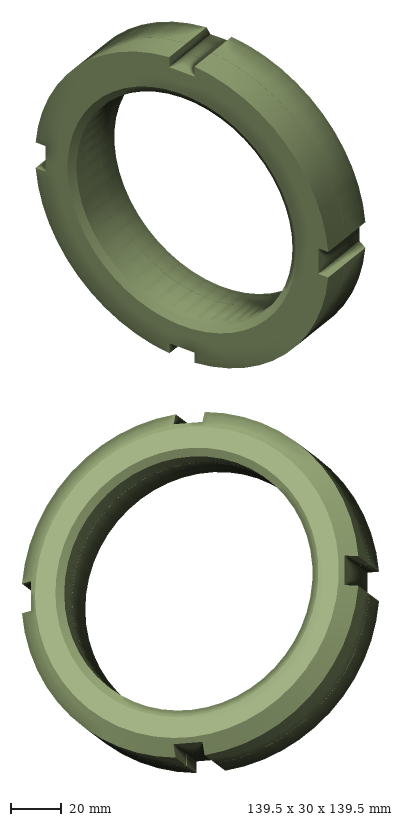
import cadquery as cq
import math

OVERALL_WIDTH = 139.5
THICKNESS = 30.0

SLOT_COUNT = 4
SLOT_WIDTH = 12.0
SLOT_FLOOR_DISTANCE = 65.0

OUTER_RADIUS = math.hypot(OVERALL_WIDTH / 2, SLOT_WIDTH / 2)

BORE_RADIUS = 51.5
BORE_CHAMFER_RADIUS = 54.5
BORE_CHAMFER_DEPTH = 1.8

BEVEL_WIDTH = 7.0
BEVEL_DEPTH = 4.0

FRONT_FLANGE_LENGTH = 12.0
FRONT_HUB_LENGTH = THICKNESS - FRONT_FLANGE_LENGTH
HUB_RADIUS = (BORE_RADIUS + SLOT_FLOOR_DISTANCE) / 2
AXIAL_GAP = 0.1

FRONT_Y = -THICKNESS / 2
REAR_Y = THICKNESS / 2
FLANGE_END_Y = FRONT_Y + FRONT_FLANGE_LENGTH
HUB_END_Y = FRONT_Y + FRONT_HUB_LENGTH


def revolve_about_y(profile_points):
    """Revolve a closed (radius, y) outline about the Y axis."""
    return cq.Workplane("XY").polyline(profile_points).close().revolve(360, (0, 0, 0), (0, 1, 0))


def cut_spanner_slots(ring):
    """Cut the evenly spaced rectangular slots into the rim."""
    slot_depth = OUTER_RADIUS - SLOT_FLOOR_DISTANCE
    cutter_height = 2 * slot_depth
    for index in range(SLOT_COUNT):
        cutter = (
            cq.Workplane("XY")
            .box(SLOT_WIDTH, THICKNESS, cutter_height)
            .translate((0, 0, SLOT_FLOOR_DISTANCE + cutter_height / 2))
            .rotate((0, 0, 0), (0, 1, 0), index * 360 / SLOT_COUNT)
        )
        ring = ring.cut(cutter)
    return ring


def make_front_ring():
    """Slotted flange with a chamfered bore mouth and a hub reaching into the rear ring."""
    ring = revolve_about_y([
        (BORE_CHAMFER_RADIUS, FRONT_Y),
        (OUTER_RADIUS, FRONT_Y),
        (OUTER_RADIUS, FLANGE_END_Y),
        (HUB_RADIUS, FLANGE_END_Y),
        (HUB_RADIUS, HUB_END_Y),
        (BORE_RADIUS, HUB_END_Y),
        (BORE_RADIUS, FRONT_Y + BORE_CHAMFER_DEPTH),
    ])
    return cut_spanner_slots(ring)


def make_rear_ring():
    """Slotted ring with a counterbore for the hub, a rear bevel and a chamfered bore mouth."""
    rim_start_y = FLANGE_END_Y + AXIAL_GAP
    counterbore_floor_y = HUB_END_Y + AXIAL_GAP
    ring = revolve_about_y([
        (BORE_RADIUS, counterbore_floor_y),
        (HUB_RADIUS, counterbore_floor_y),
        (HUB_RADIUS, rim_start_y),
        (OUTER_RADIUS, rim_start_y),
        (OUTER_RADIUS, REAR_Y - BEVEL_DEPTH),
        (OUTER_RADIUS - BEVEL_WIDTH, REAR_Y),
        (BORE_CHAMFER_RADIUS, REAR_Y),
        (BORE_RADIUS, REAR_Y - BORE_CHAMFER_DEPTH),
    ])
    return cut_spanner_slots(ring)


front_ring = make_front_ring()
rear_ring = make_rear_ring()

result = cq.Compound.makeCompound([front_ring.solids().val(), rear_ring.solids().val()])